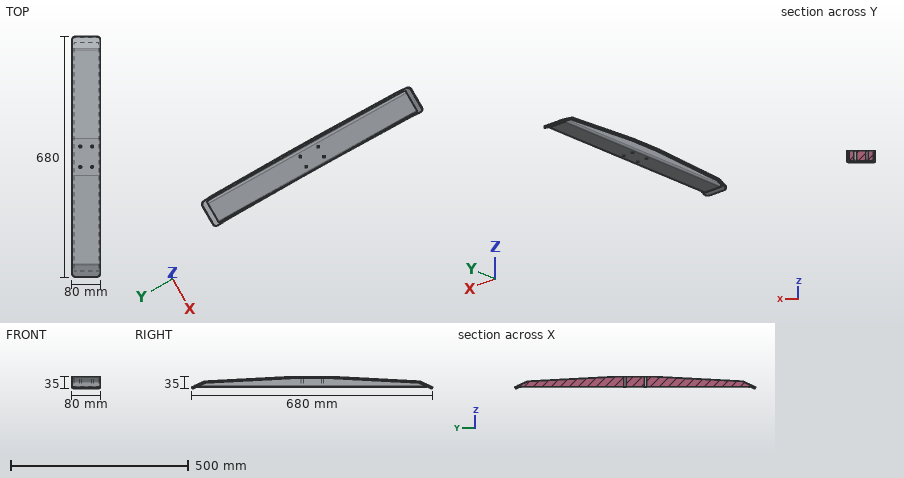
import cadquery as cq
import math

length = 680.0
width = 80.0
total_height = 35.0

plate_thickness = 5.0
center_length = 105.0
slope_angle = math.radians(3.0)
bend_start = 302.0
bend_radius = 10.0
tip_corner_radius = 10.0

steepest_tip = math.radians(45)
bisection_steps = 50

body_width = 70.0
body_length = 645.0
body_depth = 30.0
body_edge_radius = 6.0

hole_diameter = 6.0
hole_spacing_x = 33.0
hole_spacing_y = 58.0

half_length = length / 2
half_center = center_length / 2
slope_drop = (bend_start - half_center) * math.tan(slope_angle)


def bend_end(tip_angle):
    """End of the upper bend arc, where the straight tip begins."""
    y = bend_start + bend_radius * (math.sin(tip_angle) - math.sin(slope_angle))
    z = -slope_drop - bend_radius * (math.cos(slope_angle) - math.cos(tip_angle))
    return y, z


def plate_height(tip_angle):
    """Height from the flat centre down to the lower corner of the tip."""
    y, z = bend_end(tip_angle)
    tip_top = z - (half_length - y) * math.tan(tip_angle)
    return plate_thickness * math.cos(tip_angle) - tip_top


def find_tip_angle():
    """Bisect for the tip slope that gives the required total height."""
    low = slope_angle
    high = steepest_tip
    for _ in range(bisection_steps):
        middle = (low + high) / 2
        if plate_height(middle) < total_height:
            low = middle
        else:
            high = middle
    return (low + high) / 2


tip_angle = find_tip_angle()


def surface_points(depth):
    """Points of one plate surface for +Y, measured square to the plate."""
    radius = bend_radius - depth
    arc_y = bend_start - bend_radius * math.sin(slope_angle)
    arc_z = -slope_drop - bend_radius * math.cos(slope_angle)

    def on_arc(angle):
        return arc_y + radius * math.sin(angle), arc_z + radius * math.cos(angle)

    end_y, end_z = bend_end(tip_angle)
    tip_y = half_length - depth * math.sin(tip_angle)
    tip_z = end_z - (half_length - end_y) * math.tan(tip_angle) - depth * math.cos(tip_angle)
    return {
        "center": (half_center - depth * math.tan(slope_angle / 2), -depth),
        "start": on_arc(slope_angle),
        "middle": on_arc((slope_angle + tip_angle) / 2),
        "end": on_arc(tip_angle),
        "tip": (tip_y, tip_z),
    }


def mirrored(point):
    return -point[0], point[1]


def trace_from_tip(sketch, points):
    """Draw a plate surface from the -Y tip, already reached, to the +Y tip."""
    return (
        sketch.lineTo(*mirrored(points["end"]))
        .threePointArc(mirrored(points["middle"]), mirrored(points["start"]))
        .lineTo(*mirrored(points["center"]))
        .lineTo(*points["center"])
        .lineTo(*points["start"])
        .threePointArc(points["middle"], points["end"])
        .lineTo(*points["tip"])
    )


top = surface_points(0)
underside = surface_points(plate_thickness)


def extrude_across_width(sketch):
    return sketch.close().extrude(width / 2, both=True)


def make_plate():
    sketch = trace_from_tip(cq.Workplane("YZ").moveTo(*mirrored(top["tip"])), top)
    sketch = (
        sketch.lineTo(*underside["tip"])
        .lineTo(*underside["end"])
        .threePointArc(underside["middle"], underside["start"])
        .lineTo(*underside["center"])
        .lineTo(*mirrored(underside["center"]))
        .lineTo(*mirrored(underside["start"]))
        .threePointArc(mirrored(underside["middle"]), mirrored(underside["end"]))
        .lineTo(*mirrored(underside["tip"]))
    )
    plate = extrude_across_width(sketch)
    corner_y = (top["tip"][0] + underside["tip"][0]) / 2
    corner_z = (top["tip"][1] + underside["tip"][1]) / 2
    for side_x in (-1, 1):
        for side_y in (-1, 1):
            corner = (side_x * width / 2, side_y * corner_y, corner_z)
            nearest = cq.selectors.NearestToPointSelector(corner)
            plate = plate.edges(nearest).fillet(tip_corner_radius)
    return plate


def make_body():
    """Solid bar with rounded lower edges, topped by the plate underside."""
    bar = (
        cq.Workplane("XY")
        .workplane(offset=-body_depth)
        .rect(body_width, body_length)
        .extrude(body_depth)
        .edges("|Y and <Z")
        .fillet(body_edge_radius)
    )
    sketch = trace_from_tip(cq.Workplane("YZ").moveTo(*mirrored(underside["tip"])), underside)
    below = -2 * total_height
    sketch = sketch.lineTo(half_length, below).lineTo(-half_length, below)
    return bar.intersect(extrude_across_width(sketch))


def make_holes():
    return (
        cq.Workplane("XY")
        .rect(hole_spacing_x, hole_spacing_y, forConstruction=True)
        .vertices()
        .circle(hole_diameter / 2)
        .extrude(-total_height)
    )


result = make_plate().union(make_body()).cut(make_holes())